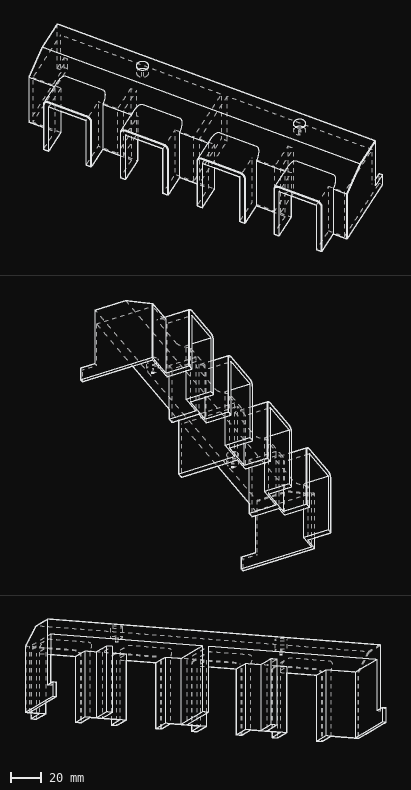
import cadquery as cq

length = 232.0
depth = 70.0
height = 54.0
end_wall = 2.5
front_wall = 1.2
edge_break = 0.5

tab_depth = 10.5
tab_height = 9.7
roof_depth = 22.5
front_height = 44.5
hood_length = 17.2
back_y = depth / 2 - tab_depth
ridge_y = back_y - roof_depth
front_y = -depth / 2 + hood_length

hood_count = 4
hood_pitch = 56.0
first_hood_x = -length / 2 + 36.7
hood_width = 35.0
hood_height = 48.5
hood_side = 4.0
hood_radius = 4.0
hood_centers = [first_hood_x + i * hood_pitch for i in range(hood_count)]

opening_width = hood_width - 2 * hood_side
ceiling_height = 44.0

socket_diameter = 8.0
socket_depth = 7.0
vent_diameter = 1.5
socket_y = back_y - 8.4
socket_xs = [-49.6, 64.7]

rib_thickness = 4.2
short_rib_length = 20.9
middle_rib_x = 5.8


def box(x_min, x_max, y_min, y_max, z_max):
    """Block standing on the underside plane."""
    block = cq.Workplane("XY").box(x_max - x_min, y_max - y_min, z_max, centered=False)
    return block.translate((x_min, y_min, 0))


def make_body():
    """Solid housing with a flat roof and a sloping shoulder; its end edges are broken."""
    profile = [
        (front_y, 0),
        (back_y, 0),
        (back_y, height),
        (ridge_y, height),
        (front_y, front_height),
    ]
    body = cq.Workplane("YZ").polyline(profile).close().extrude(length / 2, both=True)
    end_edges = body.faces("<X or >X").edges("not (<Z or >Y)")
    return end_edges.chamfer(edge_break)


def make_hood(x):
    """Hood with rounded upper edges and a broken front rim, running back into the shoulder."""
    hood = box(x - hood_width / 2, x + hood_width / 2, -depth / 2, ridge_y, hood_height)
    hood = hood.edges("|Y and >Z").fillet(hood_radius)
    return hood.faces("<Y").edges("not <Z").chamfer(edge_break)


def make_cavity():
    """Inner space, open below and behind; it leaves the roof, front wall and ends."""
    inner_x = length / 2 - end_wall
    return box(-inner_x, inner_x, front_y + front_wall, back_y, ceiling_height)


def make_opening(x):
    """Passage through a hood and the front wall."""
    return box(x - opening_width / 2, x + opening_width / 2, -depth / 2, ridge_y, ceiling_height)


def make_tab(x_min):
    """Low tab continuing an end wall behind the housing."""
    return box(x_min, x_min + end_wall, ridge_y, depth / 2, tab_height)


def make_rib(x, end_y):
    """Upright rib under the roof, from the front wall back to end_y."""
    return box(x - rib_thickness / 2, x + rib_thickness / 2, front_y, end_y, ceiling_height)


def make_socket(x):
    """Socket sunk from the roof, with its vent running on into the inner space."""
    roof = cq.Workplane("XY", origin=(x, socket_y, height))
    socket = roof.circle(socket_diameter / 2).extrude(-socket_depth)
    vent = roof.circle(vent_diameter / 2).extrude(-height)
    return socket.union(vent)


result = make_body()
for hood_x in hood_centers:
    result = result.union(make_hood(hood_x))

result = result.cut(make_cavity())
for hood_x in hood_centers:
    result = result.cut(make_opening(hood_x))

for tab_x in (-length / 2, length / 2 - end_wall):
    result = result.union(make_tab(tab_x))

result = result.union(make_rib(middle_rib_x, back_y))
for socket_x in socket_xs:
    result = result.union(make_rib(socket_x, front_y + short_rib_length))
    result = result.cut(make_socket(socket_x))